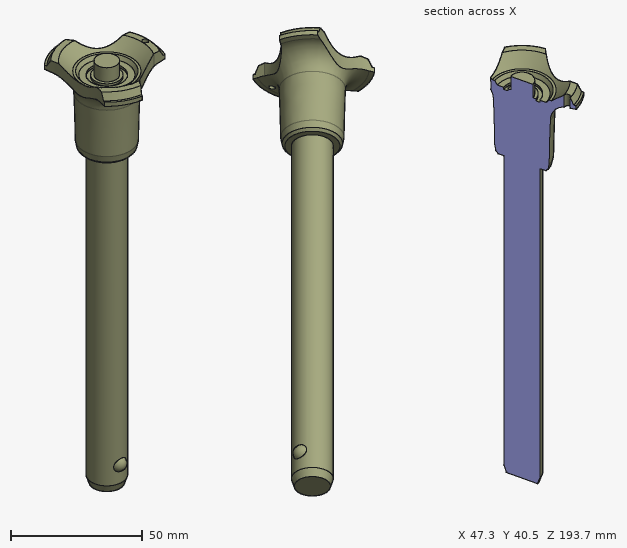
import cadquery as cq
import math

head_height = 40.0
overall_length = 193.7
shank_length = overall_length - head_height

shank_radius = 8.0
tip_radius = 6.9
tip_chamfer_height = 3.4

ball_radius = 3.3
ball_reach = 9.8
ball_height_above_tip = 11.7

barrel_shoulder_radius = 10.5
barrel_lower_radius = 11.55
barrel_lower_z = 1.1
barrel_bottom_radius = 12.1
barrel_bottom_z = 4.0
barrel_top_radius = 12.65
barrel_top_z = 25.7

flare_radius = 9.0
rim_radius = 23.85
rim_bottom_z = 35.1
rim_top_z = 37.0
rim_step_radius = 22.9
land_outer_radius = 21.3
land_inner_radius = 18.4

dish_neck_radius = 13.0
dish_neck_z = 35.2
dish_ledge_radius = 11.9
dish_floor_radius = 10.7
dish_floor_z = 33.5
groove_outer_radius = 7.9
groove_inner_radius = 6.2
groove_depth = 1.0

button_radius = 4.9

front_notch_y = -13.8
front_notch_radius = 52.2
arm_half_width = 8.6
side_notch_start_y = 16.5
side_notch_middle = (12.6, 6.6)
side_notch_end = (23.635, -3.2)
notch_clearance = 10.0

lanyard_hole_radius = 1.3
lanyard_hole_y = 19.8


def make_shank():
    """Round shank with a chamfered tip, joined into the barrel."""
    return (
        cq.Workplane("XZ")
        .moveTo(0, 0)
        .lineTo(shank_radius, 0)
        .lineTo(shank_radius, tip_chamfer_height - shank_length)
        .lineTo(tip_radius, -shank_length)
        .lineTo(0, -shank_length)
        .close()
        .revolve(360, (0, 0, 0), (0, 1, 0))
    )


def make_head():
    """Barrel, concave flare, rim and dish as one turned body."""
    diagonal = flare_radius * math.sqrt(0.5)
    flare_center_radius = barrel_top_radius + flare_radius
    flare_middle = (flare_center_radius - diagonal, barrel_top_z + diagonal)
    groove_floor_z = dish_floor_z - groove_depth
    return (
        cq.Workplane("XZ")
        .moveTo(0, 0)
        .lineTo(barrel_shoulder_radius, 0)
        .lineTo(barrel_lower_radius, barrel_lower_z)
        .lineTo(barrel_bottom_radius, barrel_bottom_z)
        .lineTo(barrel_top_radius, barrel_top_z)
        .threePointArc(flare_middle, (flare_center_radius, barrel_top_z + flare_radius))
        .lineTo(rim_radius, rim_bottom_z)
        .lineTo(rim_radius, rim_top_z)
        .lineTo(rim_step_radius, rim_top_z)
        .lineTo(land_outer_radius, head_height)
        .lineTo(land_inner_radius, head_height)
        .lineTo(dish_neck_radius, dish_neck_z)
        .lineTo(dish_ledge_radius, dish_neck_z)
        .lineTo(dish_floor_radius, dish_floor_z)
        .lineTo(groove_outer_radius, dish_floor_z)
        .lineTo(groove_outer_radius, groove_floor_z)
        .lineTo(groove_inner_radius, groove_floor_z)
        .lineTo(groove_inner_radius, dish_floor_z)
        .lineTo(button_radius, dish_floor_z)
        .lineTo(button_radius, head_height)
        .lineTo(0, head_height)
        .close()
        .revolve(360, (0, 0, 0), (0, 1, 0))
    )


def make_front_notch():
    """Shallow round notch on the -Y side."""
    return (
        cq.Workplane("XY", origin=(0, 0, barrel_top_z))
        .center(0, front_notch_y - front_notch_radius)
        .circle(front_notch_radius)
        .extrude(head_height)
    )


def make_side_notch():
    """Notch on the +X side: straight along the +Y arm, then curved out to the +X arm."""
    outside = rim_radius + notch_clearance
    return (
        cq.Workplane("XY", origin=(0, 0, barrel_top_z))
        .moveTo(arm_half_width, outside)
        .lineTo(arm_half_width, side_notch_start_y)
        .threePointArc(side_notch_middle, side_notch_end)
        .lineTo(outside, side_notch_end[1])
        .lineTo(outside, outside)
        .close()
        .extrude(head_height)
    )


def make_lanyard_hole():
    """Vertical hole through the +Y arm."""
    return (
        cq.Workplane("XY", origin=(0, lanyard_hole_y, barrel_top_z))
        .circle(lanyard_hole_radius)
        .extrude(head_height)
    )


def make_ball(side):
    """Locking ball standing out of the shank; side is +1 or -1 along X."""
    ball_x = side * (ball_reach - ball_radius)
    ball_z = ball_height_above_tip - shank_length
    return cq.Workplane("XY").sphere(ball_radius).translate((ball_x, 0, ball_z))


side_notch = make_side_notch()
head = make_head().cut(make_front_notch())
head = head.cut(side_notch).cut(side_notch.mirror("YZ"))
head = head.cut(make_lanyard_hole())

result = head.union(make_shank())
for side in (1, -1):
    result = result.union(make_ball(side))